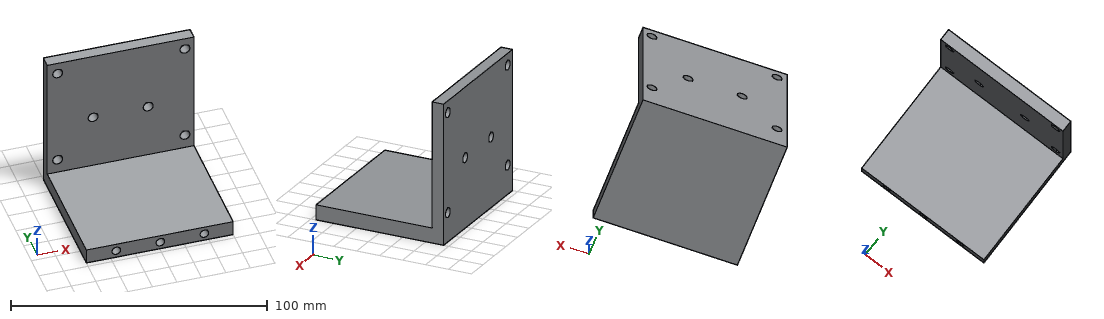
import cadquery as cq

width = 60.0
depth = 55.7
height = 60.0
wall_thickness = 5.05
base_thickness = 6.4

wall_hole_diameter = 4.0
corner_hole_left = 4.25
corner_hole_spacing_x = 52.0
corner_hole_bottom = 12.5
corner_hole_spacing_z = 42.5
middle_hole_spacing = 22.5
middle_hole_height = height / 2

edge_hole_diameter = 3.5
edge_hole_depth = 12.0
edge_hole_spacing = 18.0
edge_hole_middle_x = 30.25
edge_hole_height = base_thickness / 2


def bracket():
    """L-shaped body with its front edge at Y = 0 and the wall at the back."""
    base = cq.Workplane("XY").box(width, depth, base_thickness, centered=False)
    wall = cq.Workplane("XY").box(width, wall_thickness, height, centered=False)
    return base.union(wall.translate((0, depth - wall_thickness, 0)))


def drills(points, diameter, length, start_y):
    """Cylinders along +Y from start_y, at the given (x, z) points."""
    plane = cq.Workplane("XZ", origin=(0, start_y, 0))
    return plane.pushPoints(points).circle(diameter / 2).extrude(-length)


corner_holes = [
    (corner_hole_left + i * corner_hole_spacing_x, corner_hole_bottom + j * corner_hole_spacing_z)
    for i in range(2)
    for j in range(2)
]
middle_holes = [(width / 2 + side * middle_hole_spacing / 2, middle_hole_height) for side in (-1, 1)]
edge_holes = [(edge_hole_middle_x + i * edge_hole_spacing, edge_hole_height) for i in (-1, 0, 1)]

wall_drills = drills(
    corner_holes + middle_holes, wall_hole_diameter, wall_thickness, depth - wall_thickness
)
edge_drills = drills(edge_holes, edge_hole_diameter, edge_hole_depth, 0)

result = bracket().cut(wall_drills).cut(edge_drills)